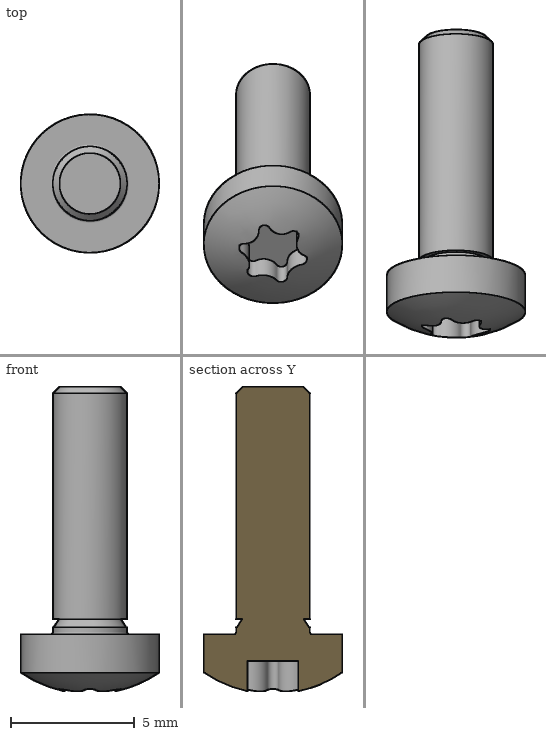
import cadquery as cq
import math

total_length = 12.3
head_radius = 5.6 / 2
head_edge_z = 0.76
head_top_z = 2.31
shank_radius = 3.0 / 2
tip_chamfer = 0.27

root_fillet = 0.09
collar_top_z = 2.6
shank_start_z = 2.92
neck_base_radius = 1.46
neck_radius = 1.25

lobe_count = 6
lobe_reach = 1.4
valley_reach = 1.02
lobe_tip_radius = 0.23
socket_depth = 1.23

dome_center_z = (head_radius**2 + head_edge_z**2 - valley_reach**2) / (2 * head_edge_z)
dome_radius = math.hypot(valley_reach, dome_center_z)
dome_apex_z = dome_center_z - dome_radius


def polar(radius, angle):
    return (radius * math.cos(angle), radius * math.sin(angle))


def make_body():
    """Revolve the half outline of head, neck and shank."""
    dome_middle_r = head_radius / 2
    dome_middle_z = dome_center_z - math.sqrt(dome_radius**2 - dome_middle_r**2)
    fillet_middle = root_fillet * (1 - math.sqrt(0.5))
    outline = (
        cq.Workplane("XZ")
        .moveTo(0, dome_apex_z)
        .threePointArc((dome_middle_r, dome_middle_z), (head_radius, head_edge_z))
        .lineTo(head_radius, head_top_z)
        .lineTo(shank_radius + root_fillet, head_top_z)
        .threePointArc(
            (shank_radius + fillet_middle, head_top_z + fillet_middle),
            (shank_radius, head_top_z + root_fillet),
        )
        .lineTo(shank_radius, collar_top_z)
        .lineTo(neck_base_radius, collar_top_z)
        .lineTo(neck_radius, shank_start_z)
        .lineTo(shank_radius, shank_start_z)
        .lineTo(shank_radius, total_length - tip_chamfer)
        .lineTo(shank_radius - tip_chamfer, total_length)
        .lineTo(0, total_length)
        .close()
    )
    return outline.revolve(360, (0, 0, 0), (0, 1, 0))


def make_socket():
    """Extrude a star of lobe and valley arcs that meet tangentially."""
    pitch = 2 * math.pi / lobe_count
    half_pitch = pitch / 2
    lobe_center = lobe_reach - lobe_tip_radius

    across = lobe_center * math.cos(half_pitch)
    valley_radius = (
        lobe_center**2 + valley_reach**2 - 2 * across * valley_reach - lobe_tip_radius**2
    ) / (2 * (across + lobe_tip_radius - valley_reach))
    valley_center = valley_reach + valley_radius

    lobe_share = lobe_tip_radius / (lobe_tip_radius + valley_radius)
    valley_x, valley_y = polar(valley_center, half_pitch)
    touch_x = lobe_center + lobe_share * (valley_x - lobe_center)
    touch_y = lobe_share * valley_y
    touch_reach = math.hypot(touch_x, touch_y)
    touch_angle = math.atan2(touch_y, touch_x)

    first_lobe_angle = math.pi / 2
    star = cq.Workplane("XY", origin=(0, 0, dome_apex_z))
    star = star.moveTo(*polar(touch_reach, first_lobe_angle - touch_angle))
    for index in range(lobe_count):
        angle = first_lobe_angle + index * pitch
        star = star.threePointArc(polar(lobe_reach, angle), polar(touch_reach, angle + touch_angle))
        star = star.threePointArc(
            polar(valley_reach, angle + half_pitch),
            polar(touch_reach, angle + pitch - touch_angle),
        )
    return star.close().extrude(socket_depth - dome_apex_z)


result = make_body().cut(make_socket())